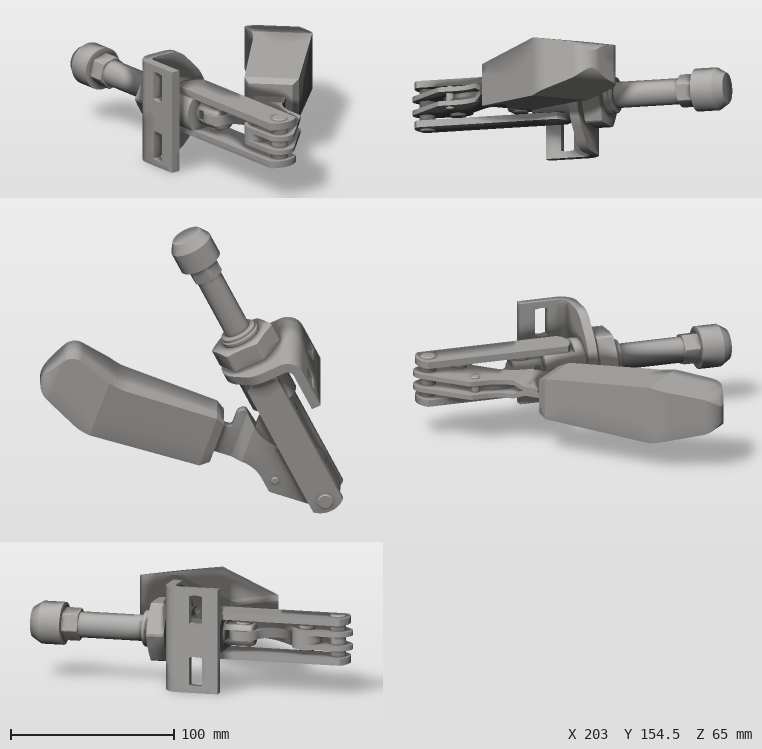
import cadquery as cq
import math


OVERSIZE = 121.8
COS_45 = math.sqrt(0.5)
HALF_OF_45 = math.pi / 8

bumper_radius = 13.2
bumper_nose_radius = 9.5
bumper_nose_length = 5.9
bumper_cap_length = 19.7
bumper_hex_length = 10.4
bumper_hex_across_flats = 17.9
bumper_hex_corner_radius = 10.2
bumper_hex_chamfer = 0.6
bumper_hex_turn = 45.0
bumper_length = bumper_cap_length + bumper_hex_length

plunger_pin_x = 133.8
lever_pin_x = 174.0
pivot_x = 193.9
pin_radius = 4.9
pin_chamfer = 0.6
pivot_pin_length = 31.3
joint_pin_length = 15.6
stop_pin_x = 171.3
stop_pin_y = 23.3
stop_pin_radius = 2.5
stop_pin_length = 14.2

rod_diameter = 16.0
rod_radius = rod_diameter / 2
fork_end_x = 140.9
fork_width = 12.8
fork_slot_width = 6.5
fork_slot_start_x = 123.6
fork_end_fillet = 2.2

housing_front_x = 71.0
thread_radius = 12.0
thread_lead_radius = 11.2
thread_lead_length = 2.5
thread_chamfer = 0.6
barrel_radius = 15.0
barrel_start_x = 96.2
barrel_end_x = 122.5
arm_seat_x = 102.1
arm_gap = 20.3
arm_thickness = 4.3
arm_height = 20.0
arm_front_x = 102.7
arm_rear_x = 201.4
arm_end_bulge = 3.9

nut_front_x = 76.5
nut_length = 11.8
nut_across_flats = 36.0
nut_turn = 30.0
nut_corner_radius = 20.3
nut_face_radius = 16.2
nut_chamfer_depth = 0.8

bracket_thickness = 5.9
bracket_width = 65.0
bracket_foot_end_x = 125.7
bracket_foot_y = -30.0
bracket_bend_radius = 10.2
bracket_top_y = 20.3
bracket_top_radius = 28.0
bracket_shoulder_radius = 15.0
slot_center_x = 111.6
slot_width = 8.5
slot_inner_z = 10.0
slot_outer_z = 28.5
slot_end_bulge = 0.6

link_thickness = 5.5
link_end_radius = 9.1
link_arc_center_y = -4.0

handle_angle = -45.0
handle_x = 130.7
handle_y = 43.0

lever_thickness = 11.5
neck_thickness = 5.7
lever_gap = 5.7
neck_half_width = 9.3
joggle_start = 12.0
joggle_end = 19.0
lever_end_radius = 9.1
lever_top_y = 30.0
lever_top_front_radius = 23.3
lever_top_rear_radius = 3.2
lever_bottom_y = 18.9
lever_arc_start_x = 134.5
lever_arc_radius = 28.2
hook_x = 120.8
hook_face = 6.3
hook_notch_radius = 2.2
hook_top_radius = 4.0
hook_bottom_radius = 2.8

grip_end_half_width = 13.5
grip_end_chamfer = 5.7
grip_upper_half_width = 16.8
grip_lower_half_width = 16.6
grip_upper_bend = (-82.6, 16.8)
grip_lower_bend = (-69.8, -18.5)
grip_tip = (-119.8, 0.5)
grip_heel = (-103.3, -29.0)
grip_upper_bend_radius = 27.8
grip_lower_bend_radius = 31.7
grip_tip_radius = 10.8
grip_heel_radius = 8.5

grip_end_half_thickness = 10.8
grip_chamfer_half_thickness = 13.0
grip_crease = -76.7
grip_crease_half_thickness = 18.0
grip_cap_start = -108.0
grip_cap_half_thickness = 11.4
grip_cap_end = -116.7


def rod_along_x(start_x, length, radius):
    """A cylinder on the plunger axis."""
    return cq.Workplane("YZ", origin=(start_x, 0, 0)).circle(radius).extrude(length)


def hex_along_x(start_x, length, across_flats, turn):
    """A hexagonal prism on the plunger axis, turned about it in degrees."""
    prism = (
        cq.Workplane("YZ", origin=(start_x, 0, 0))
        .polygon(6, across_flats, circumscribed=True)
        .extrude(length)
    )
    return prism.rotate((0, 0, 0), (1, 0, 0), turn)


def pin_along_z(x, y, radius, length):
    """A plain cylinder centred on the plane Z = 0."""
    return cq.Workplane("XY").center(x, y).circle(radius).extrude(length / 2, both=True)


def chamfered_pin(x, y, radius, length):
    return pin_along_z(x, y, radius, length).faces("<Z or >Z").chamfer(pin_chamfer)


def round_corner(plate, corner, radius):
    """Round the Z edge of a plate that stands at the given corner."""
    edge = cq.selectors.NearestToPointSelector((corner[0], corner[1], 0))
    return plate.edges("|Z").edges(edge).fillet(radius)


def to_handle_place(shape):
    """Move a shape from the handle's frame to its place in the clamp."""
    return shape.rotate((0, 0, 0), (0, 0, 1), handle_angle).translate((handle_x, handle_y, 0))


def handle_point(along, across):
    """The clamp X and Y of a point in the handle's frame."""
    return (handle_x + (along + across) * COS_45, handle_y + (across - along) * COS_45)


def make_bumper():
    cap = (
        cq.Workplane("XY")
        .polyline([
            (0, 0),
            (0, bumper_nose_radius),
            (bumper_nose_length, bumper_radius),
            (bumper_cap_length, bumper_radius),
            (bumper_cap_length, 0),
        ])
        .close()
        .revolve(360, (0, 0, 0), (1, 0, 0))
    )
    hex_block = hex_along_x(
        bumper_cap_length, bumper_hex_length, bumper_hex_across_flats, bumper_hex_turn
    )
    corner_limit = rod_along_x(bumper_cap_length, bumper_hex_length, bumper_hex_corner_radius)
    corner_limit = corner_limit.edges().chamfer(bumper_hex_chamfer)
    return cap.union(hex_block.intersect(corner_limit))


def make_plunger():
    rod = rod_along_x(bumper_length, fork_end_x - bumper_length, rod_radius)
    rod = rod.faces(">X").edges().fillet(fork_end_fillet)
    fork_length = fork_end_x - fork_slot_start_x
    fork_space = cq.Workplane("XY").box(fork_length, OVERSIZE, OVERSIZE)
    fork_ears = cq.Workplane("XY").box(fork_length, OVERSIZE, fork_width)
    fork_slot = cq.Workplane("XY").box(fork_length, OVERSIZE, fork_slot_width)
    waste = fork_space.cut(fork_ears).union(fork_slot)
    waste = waste.translate((fork_slot_start_x + fork_length / 2, 0, 0))
    return rod.cut(waste).union(chamfered_pin(plunger_pin_x, 0, pin_radius, joint_pin_length))


def make_arm():
    """One arm, lying on the plane Z = 0."""
    half_height = arm_height / 2
    front_shoulder_x = arm_front_x + arm_end_bulge
    rear_shoulder_x = arm_rear_x - arm_end_bulge
    return (
        cq.Workplane("XY")
        .moveTo(front_shoulder_x, -half_height)
        .lineTo(rear_shoulder_x, -half_height)
        .threePointArc((arm_rear_x, 0), (rear_shoulder_x, half_height))
        .lineTo(front_shoulder_x, half_height)
        .threePointArc((arm_front_x, 0), (front_shoulder_x, -half_height))
        .close()
        .extrude(arm_thickness)
    )


def make_housing():
    thread_start_x = housing_front_x + thread_lead_length
    lead = rod_along_x(housing_front_x, thread_lead_length, thread_lead_radius)
    thread = rod_along_x(thread_start_x, barrel_start_x - thread_start_x, thread_radius)
    housing = (
        lead.faces("<X").chamfer(thread_chamfer)
        .union(thread.faces("<X").chamfer(thread_chamfer))
        .union(rod_along_x(barrel_start_x, barrel_end_x - barrel_start_x, barrel_radius))
    )
    seat_length = barrel_end_x - arm_seat_x
    seat = cq.Workplane("XY").box(seat_length, OVERSIZE, OVERSIZE, centered=(False, True, False))
    seat = seat.translate((arm_seat_x, 0, arm_gap / 2))
    arm = make_arm().translate((0, 0, arm_gap / 2))
    housing = housing.cut(seat).cut(seat.mirror("XY"))
    housing = housing.union(arm).union(arm.mirror("XY"))
    housing = housing.cut(rod_along_x(housing_front_x, barrel_end_x - housing_front_x, rod_radius))
    return housing.union(chamfered_pin(pivot_x, 0, pin_radius, pivot_pin_length))


def make_lock_nut():
    nut = hex_along_x(nut_front_x, nut_length, nut_across_flats, nut_turn)
    envelope = (
        cq.Workplane("XY")
        .polyline([
            (nut_front_x, 0),
            (nut_front_x, nut_face_radius),
            (nut_front_x + nut_chamfer_depth, nut_corner_radius),
            (nut_front_x + nut_length, nut_corner_radius),
            (nut_front_x + nut_length, 0),
        ])
        .close()
        .revolve(360, (0, 0, 0), (1, 0, 0))
    )
    return nut.intersect(envelope).cut(rod_along_x(nut_front_x, nut_length, thread_radius))


def bracket_slot():
    """One long hole through the foot, at positive Z, with shallow rounded ends."""
    left_x = slot_center_x - slot_width / 2
    right_x = slot_center_x + slot_width / 2
    inner_corner_z = slot_inner_z + slot_end_bulge
    outer_corner_z = slot_outer_z - slot_end_bulge
    return (
        cq.Workplane("XZ", origin=(0, bracket_foot_y, 0))
        .moveTo(left_x, inner_corner_z)
        .threePointArc((slot_center_x, slot_inner_z), (right_x, inner_corner_z))
        .lineTo(right_x, outer_corner_z)
        .threePointArc((slot_center_x, slot_outer_z), (left_x, outer_corner_z))
        .close()
        .extrude(-bracket_thickness)
    )


def bracket_plate_shape():
    """The bracket's outline across X: a rounded top with sides that slope out at 45 degrees."""
    half_width = bracket_width / 2
    top_center_y = bracket_top_y - bracket_top_radius
    tangent_y = top_center_y + bracket_top_radius * COS_45
    tangent_z = bracket_top_radius * COS_45
    shoulder_y = tangent_y + tangent_z - half_width
    plate = (
        cq.Workplane("YZ")
        .moveTo(bracket_foot_y, -half_width)
        .lineTo(shoulder_y, -half_width)
        .lineTo(tangent_y, -tangent_z)
        .threePointArc((bracket_top_y, 0), (tangent_y, tangent_z))
        .lineTo(shoulder_y, half_width)
        .lineTo(bracket_foot_y, half_width)
        .close()
        .extrude(bracket_foot_end_x)
    )
    for side in (-1, 1):
        shoulder = cq.selectors.NearestToPointSelector(
            (bracket_foot_end_x / 2, shoulder_y, side * half_width)
        )
        plate = plate.edges("|X").edges(shoulder).fillet(bracket_shoulder_radius)
    return plate


def make_bracket():
    front_x = barrel_start_x - bracket_thickness
    foot_top_y = bracket_foot_y + bracket_thickness
    angle = (
        cq.Workplane("XY")
        .polyline([
            (front_x, bracket_top_y),
            (front_x, bracket_foot_y),
            (bracket_foot_end_x, bracket_foot_y),
            (bracket_foot_end_x, foot_top_y),
            (barrel_start_x, foot_top_y),
            (barrel_start_x, bracket_top_y),
        ])
        .close()
        .extrude(bracket_width / 2, both=True)
    )
    angle = round_corner(angle, (front_x, bracket_foot_y), bracket_bend_radius)
    angle = round_corner(angle, (barrel_start_x, foot_top_y), bracket_bend_radius - bracket_thickness)
    slot = bracket_slot()
    return (
        angle.intersect(bracket_plate_shape())
        .cut(rod_along_x(front_x, bracket_thickness, thread_radius))
        .cut(slot)
        .cut(slot.mirror("XY"))
    )


def make_link():
    """A curved link: an arc band that is tangent to the round ends about both pins."""
    center_x = (plunger_pin_x + lever_pin_x) / 2
    half_span = (lever_pin_x - plunger_pin_x) / 2
    arc_radius = math.hypot(half_span, link_arc_center_y)
    outer_radius = arc_radius + link_end_radius
    inner_radius = arc_radius - link_end_radius
    cos_pin = half_span / arc_radius
    sin_pin = -link_arc_center_y / arc_radius
    outer_right = (center_x + outer_radius * cos_pin, link_arc_center_y + outer_radius * sin_pin)
    outer_left = (center_x - outer_radius * cos_pin, outer_right[1])
    inner_right = (center_x + inner_radius * cos_pin, link_arc_center_y + inner_radius * sin_pin)
    inner_left = (center_x - inner_radius * cos_pin, inner_right[1])
    end_drop = link_end_radius * cos_pin
    end_shift = link_end_radius * sin_pin
    link = (
        cq.Workplane("XY")
        .moveTo(*outer_left)
        .threePointArc((center_x, link_arc_center_y + outer_radius), outer_right)
        .threePointArc((lever_pin_x + end_shift, -end_drop), inner_right)
        .threePointArc((center_x, link_arc_center_y + inner_radius), inner_left)
        .threePointArc((plunger_pin_x - end_shift, -end_drop), outer_left)
        .close()
        .extrude(link_thickness / 2, both=True)
    )
    for pin_x in (plunger_pin_x, lever_pin_x):
        link = link.cut(pin_along_z(pin_x, 0, pin_radius, link_thickness))
    return link


def lever_outline():
    """The lever's outline seen along Z, as a plate of full thickness."""
    neck_top = handle_point(0, neck_half_width)
    neck_bottom = handle_point(0, -neck_half_width)
    notch = handle_point(hook_face, -neck_half_width)
    hook_top = (hook_x, notch[1] - (notch[0] - hook_x))
    hook_bottom = (hook_x, lever_bottom_y)
    top_front = (neck_top[0] + neck_top[1] - lever_top_y, lever_top_y)
    top_rear = (pivot_x + lever_end_radius / COS_45 - lever_top_y, lever_top_y)
    end_tangent = (pivot_x + lever_end_radius * COS_45, lever_end_radius * COS_45)
    arc_center_y = lever_bottom_y - lever_arc_radius
    arc_middle = (
        lever_arc_start_x + lever_arc_radius * math.sin(HALF_OF_45),
        arc_center_y + lever_arc_radius * math.cos(HALF_OF_45),
    )
    slope_top = (
        lever_arc_start_x + lever_arc_radius * COS_45,
        arc_center_y + lever_arc_radius * COS_45,
    )
    slope_end = (slope_top[0] + slope_top[1], 0)
    plate = (
        cq.Workplane("XY")
        .moveTo(*neck_top)
        .lineTo(*top_front)
        .lineTo(*top_rear)
        .lineTo(*end_tangent)
        .threePointArc((pivot_x + lever_end_radius, 0), (pivot_x, -lever_end_radius))
        .lineTo(lever_pin_x, -lever_end_radius)
        .lineTo(lever_pin_x, 0)
        .lineTo(*slope_end)
        .lineTo(*slope_top)
        .threePointArc(arc_middle, (lever_arc_start_x, lever_bottom_y))
        .lineTo(*hook_bottom)
        .lineTo(*hook_top)
        .lineTo(*notch)
        .lineTo(*neck_bottom)
        .close()
        .extrude(lever_thickness / 2, both=True)
    )
    plate = round_corner(plate, top_front, lever_top_front_radius)
    plate = round_corner(plate, top_rear, lever_top_rear_radius)
    plate = round_corner(plate, notch, hook_notch_radius)
    plate = round_corner(plate, hook_top, hook_top_radius)
    plate = round_corner(plate, hook_bottom, hook_bottom_radius)
    return plate.union(pin_along_z(lever_pin_x, 0, lever_end_radius, lever_thickness))


def make_lever():
    outer = lever_thickness / 2
    neck = neck_thickness / 2
    gap = lever_gap / 2
    envelope = (
        cq.Workplane("XZ")
        .polyline([
            (0, -neck),
            (joggle_start, -neck),
            (joggle_end, -outer),
            (OVERSIZE, -outer),
            (OVERSIZE, outer),
            (joggle_end, outer),
            (joggle_start, neck),
            (0, neck),
        ])
        .close()
        .extrude(OVERSIZE, both=True)
    )
    fork_gap = (
        cq.Workplane("XZ")
        .polyline([
            (joggle_start, 0),
            (joggle_end, -gap),
            (OVERSIZE, -gap),
            (OVERSIZE, gap),
            (joggle_end, gap),
        ])
        .close()
        .extrude(OVERSIZE, both=True)
    )
    return (
        lever_outline()
        .intersect(to_handle_place(envelope))
        .cut(to_handle_place(fork_gap))
        .cut(pin_along_z(pivot_x, 0, pin_radius, lever_thickness))
        .union(chamfered_pin(lever_pin_x, 0, pin_radius, joint_pin_length))
        .union(chamfered_pin(stop_pin_x, stop_pin_y, stop_pin_radius, stop_pin_length))
    )


def make_grip():
    outline = (
        cq.Workplane("XY")
        .polyline([
            (0, grip_end_half_width),
            (-grip_end_chamfer, grip_upper_half_width),
            grip_upper_bend,
            grip_tip,
            grip_heel,
            grip_lower_bend,
            (-grip_end_chamfer, -grip_lower_half_width),
            (0, -grip_end_half_width),
        ])
        .close()
        .extrude(grip_crease_half_thickness, both=True)
    )
    outline = round_corner(outline, grip_upper_bend, grip_upper_bend_radius)
    outline = round_corner(outline, grip_lower_bend, grip_lower_bend_radius)
    outline = round_corner(outline, grip_tip, grip_tip_radius)
    outline = round_corner(outline, grip_heel, grip_heel_radius)
    thickness = (
        cq.Workplane("XZ")
        .moveTo(0, -grip_end_half_thickness)
        .lineTo(0, grip_end_half_thickness)
        .lineTo(-grip_end_chamfer, grip_chamfer_half_thickness)
        .lineTo(grip_crease, grip_crease_half_thickness)
        .lineTo(grip_cap_start, grip_cap_half_thickness)
        .threePointArc((grip_cap_end, 0), (grip_cap_start, -grip_cap_half_thickness))
        .lineTo(grip_crease, -grip_crease_half_thickness)
        .lineTo(-grip_end_chamfer, -grip_chamfer_half_thickness)
        .close()
        .extrude(OVERSIZE, both=True)
    )
    return to_handle_place(outline.intersect(thickness))


bumper = make_bumper()
plunger = make_plunger()
housing = make_housing()
lock_nut = make_lock_nut()
bracket = make_bracket()
link = make_link()
lever = make_lever()
grip = make_grip()

result = cq.Compound.makeCompound([
    bumper.val(),
    plunger.val(),
    housing.val(),
    lock_nut.val(),
    bracket.val(),
    link.val(),
    lever.val(),
    grip.val(),
])